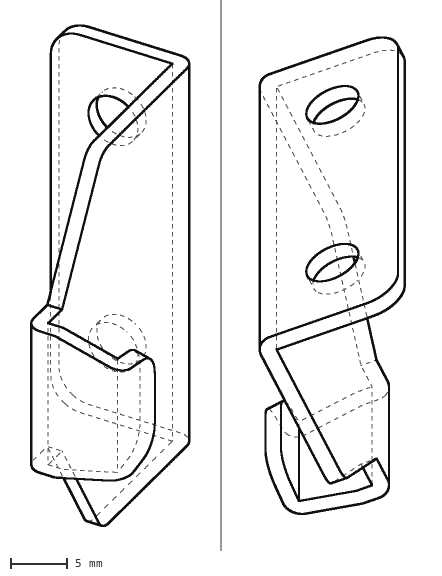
import cadquery as cq
import math

height = 40.0
depth = 28.0
width = 22.3
thickness = 1.5

flange_width = 13.8
flange_corner_radius = 3.0
hole_diameter = 5.0
hole_spacing = 24.0
hole_x = 6.3

tab_height = 15.0
shoulder_depth = 24.0
shoulder_angle = 60.0
shoulder_radius = 2.0

taper_start_x = 15.3
taper_angle = 15.0
lip_length = 5.5
lip_taper_angle = 10.0
lip_corner_radius = 2.5

bend_radius = thickness
web_x = flange_width - thickness
lip_x = width - thickness
half_height = height / 2
half_tab = tab_height / 2
tip_half_height = half_tab - (width - taper_start_x) * math.tan(math.radians(taper_angle))


def make_strip():
    """Full-height bent sheet: flange, web, hook front and lip."""
    front_inside_y = -depth + thickness
    lip_end_y = -depth + lip_length
    plan = [
        (0, 0),
        (flange_width, 0),
        (flange_width, front_inside_y),
        (lip_x, front_inside_y),
        (lip_x, lip_end_y),
        (width, lip_end_y),
        (width, -depth),
        (web_x, -depth),
        (web_x, -thickness),
        (0, -thickness),
    ]
    strip = cq.Workplane("XY").polyline(plan).close().extrude(height / 2, both=True)
    bends = strip.edges(cq.selectors.NearestToPointSelector((flange_width, 0, 0)))
    bends = bends.add(strip.edges("|Z and <Y"))
    return bends.fillet(bend_radius)


def make_side_outline():
    """Solid across the full width whose side shape is the web outline."""
    slope_run = (half_height - half_tab) / math.tan(math.radians(shoulder_angle))
    slope_start = shoulder_depth - slope_run
    upper = [
        (0, half_height),
        (-slope_start, half_height),
        (-shoulder_depth, half_tab),
        (-depth, half_tab),
    ]
    lower = [(y, -z) for y, z in reversed(upper)]
    outline = cq.Workplane("YZ").polyline(upper + lower).close().extrude(width)
    shoulders = cq.selectors.BoxSelector(
        (0, -slope_start - 0.4, -height), (width, -slope_start + 0.4, height)
    )
    return outline.edges("|X").edges(shoulders).fillet(shoulder_radius)


def make_front_outline():
    """Solid through the full depth that tapers toward the lip."""
    upper = [
        (0, half_height),
        (flange_width, half_height),
        (flange_width, half_tab),
        (taper_start_x, half_tab),
        (width, tip_half_height),
    ]
    lower = [(x, -z) for x, z in reversed(upper)]
    return cq.Workplane("XZ").polyline(upper + lower).close().extrude(depth)


def round_flange_corners(bracket):
    """Round the two free corners of the mounting flange."""
    return bracket.edges("|Y and <X").fillet(flange_corner_radius)


def taper_lip(bracket):
    """Narrow the lip toward its end, keeping the slope of the hook across its thickness."""
    cutter = (
        cq.Workplane("XY")
        .box(3 * thickness, 2 * lip_length, lip_length, centered=(True, False, False))
        .rotate((0, 0, 0), (1, 0, 0), -lip_taper_angle)
        .rotate((0, 0, 0), (0, 1, 0), taper_angle)
        .translate((width, -depth + thickness, tip_half_height))
    )
    return bracket.cut(cutter).cut(cutter.mirror("XY"))


def round_lip_corners(bracket):
    """Round the two free corners of the lip."""
    end_y = -depth + lip_length
    for side in (1, -1):
        corner = cq.selectors.NearestToPointSelector((width - thickness / 2, end_y, side * half_tab))
        bracket = bracket.edges(corner).fillet(lip_corner_radius)
    return bracket


def cut_mounting_holes(bracket):
    """Drill the two screw holes through the flange."""
    holes = (
        cq.Workplane("XZ")
        .pushPoints([(hole_x, -hole_spacing / 2), (hole_x, hole_spacing / 2)])
        .circle(hole_diameter / 2)
        .extrude(thickness)
    )
    return bracket.cut(holes)


bracket = make_strip().intersect(make_side_outline()).intersect(make_front_outline())
bracket = round_flange_corners(bracket)
bracket = round_lip_corners(taper_lip(bracket))
result = cut_mounting_holes(bracket)